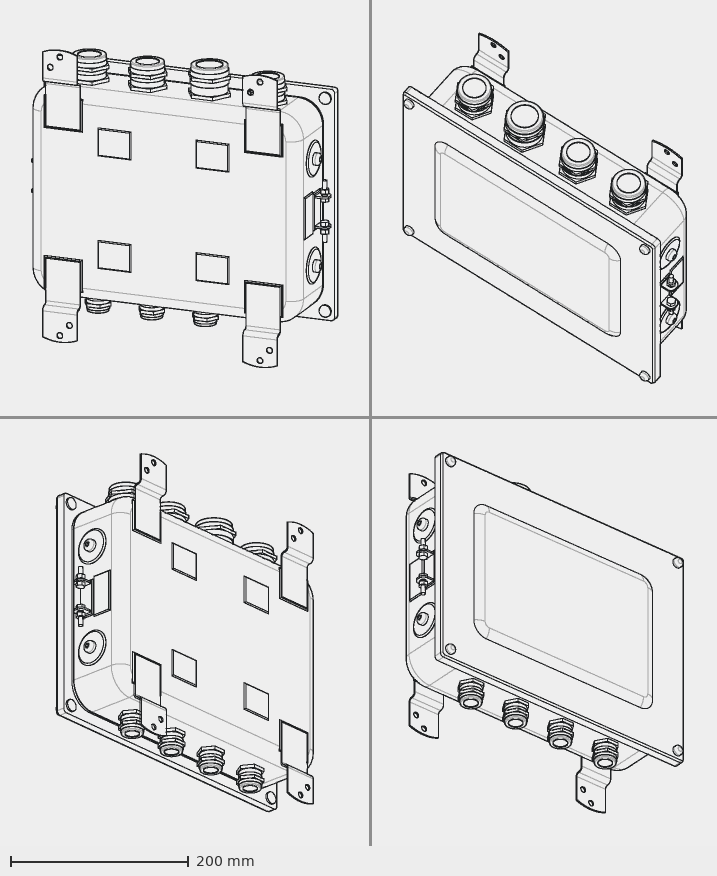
import cadquery as cq
import math

total_width = 363.0
total_depth = 105.5
total_height = 344.5

body_width = 328.5
body_height = 248.0
body_back_y = -41.7
body_corner_radius = 29.8
body_edge_radius = 15.2
neck_length = 3.3
neck_inset = 0.7

lid_width = 354.0
lid_height = 273.5
lid_back_y = 34.5
lid_face_y = 47.2
lid_corner_radius = 4.5
lid_bevel_depth = 3.0
lid_bevel_inset = 1.5
panel_width = 268.0
panel_height = 185.0
panel_face_y = total_depth / 2
panel_corner_radius = 21.5
panel_edge_radius = 15.2

lid_screw_x = 166.0
lid_screw_z = 125.5
lid_screw_diameter = 12.0
lid_screw_fillet = 3.3
lid_boss_diameter = 14.0
lid_boss_height = 2.0

pad_height = 1.5
weld_bevel = 1.27
back_pad_width = 40.3
back_pad_height = 33.0
back_pad_x = 60.0
back_pad_z = 66.5
name_pad_width = 24.7
name_pad_height = 50.0
name_pad_y = -12.7

strap_x = 122.0
strap_width = 41.7
strap_thickness = 1.8
strap_inner_z = 78.0
strap_bend_z = 133.0
strap_outer_z = total_height / 2
strap_tip_rise = 4.0
strap_foot_y = -total_depth / 2
strap_hole_diameter = 7.0
strap_end_hole_z = 164.5
strap_side_hole_z = 151.0
strap_side_hole_offset = 11.5
strap_weld_border = 2.5
strap_weld_top_z = 114.0

gland_y = 2.5
medium_gland_xs = (-108.5, -37.8, 108.5)
large_gland_x = 37.8
small_gland_xs = (-98.0, -32.5, 32.5, 98.0)
gland_hex_thickness = 4.0
gland_recess_depth = 1.0
gland_top_fillet = 1.0

plug_y = gland_y
plug_z = 63.0
plug_diameter = 42.0
plug_thickness = 1.8
plug_bevel_depth = 1.5
plug_bevel_inset = 2.0
plug_screw_diameter = 14.0
plug_screw_height = 7.0
plug_screw_fillet = 3.5
plug_socket_diameter = 5.0
plug_socket_depth = 2.0

lug_end_x = total_width / 2
lug_y = 11.0
lug_width = 15.2
lug_round_radius = 6.0
lug_z = 17.8
lug_thickness = 2.0
lug_pad_width = 19.5
lug_pad_height = 44.5
bolt_x = 174.5
bolt_diameter = 5.0
bolt_end_z = 36.3
bolt_hex_corners = 10.5
bolt_head_thickness = 4.7
nut_bottom_z = 21.0
nut_thickness = 5.0
washer_diameter = 7.0

sink = 1.0
side_x = body_width / 2
top_z = body_height / 2


def slab_y(width, height, y_start, y_end):
    """Box centred on X and Z that spans the given Y range."""
    return cq.Workplane("XY").box(width, y_end - y_start, height).translate((0, (y_start + y_end) / 2, 0))


def disc_y(x, z, diameter, y_start, y_end):
    """Cylinder along Y."""
    plane = cq.Workplane("XZ", origin=(x, y_start, z))
    return plane.circle(diameter / 2).extrude(y_start - y_end)


def mirrored_x(shape):
    return shape.union(shape.mirror("YZ"))


def hex_prism(x, y, z_start, thickness, corners):
    """Hexagon along Z with two of its corners on the X direction."""
    return cq.Workplane("XY", origin=(x, y, z_start)).polygon(6, corners).extrude(thickness)


def disc_z(x, y, z_start, z_end, diameter):
    return cq.Workplane("XY", origin=(x, y, z_start)).circle(diameter / 2).extrude(z_end - z_start)


def make_body():
    tub = slab_y(body_width, body_height, body_back_y, lid_back_y - neck_length)
    tub = tub.edges("|Y").fillet(body_corner_radius)
    tub = tub.faces("<Y").edges().fillet(body_edge_radius)
    neck_width = body_width - 2 * neck_inset
    neck_height = body_height - 2 * neck_inset
    neck = slab_y(neck_width, neck_height, lid_back_y - neck_length - sink, lid_back_y + sink)
    return tub.union(neck.edges("|Y").fillet(body_corner_radius - neck_inset))


def make_lid():
    plate = slab_y(lid_width, lid_height, lid_back_y, lid_face_y).edges("|Y").fillet(lid_corner_radius)
    bevel_taper = math.degrees(math.atan(lid_bevel_inset / lid_bevel_depth))
    rim_y = lid_face_y - lid_bevel_depth
    base = plate.intersect(slab_y(lid_width, lid_height, lid_back_y, rim_y))
    lid = base.faces(">Y").wires().toPending().workplane().extrude(lid_bevel_depth, taper=bevel_taper)
    panel = slab_y(panel_width, panel_height, lid_back_y, panel_face_y)
    panel = panel.edges("|Y").fillet(panel_corner_radius).faces(">Y").edges().fillet(panel_edge_radius)
    lid = lid.union(panel)
    for x in (-lid_screw_x, lid_screw_x):
        for z in (-lid_screw_z, lid_screw_z):
            head = disc_y(x, z, lid_screw_diameter, lid_face_y - sink, panel_face_y)
            head = head.faces(">Y").edges().fillet(lid_screw_fillet)
            boss = disc_y(x, z, lid_boss_diameter, lid_back_y - lid_boss_height, lid_back_y + sink)
            lid = lid.union(head).union(boss)
    return lid


def back_pad(x, z, width, height):
    pad = slab_y(width, height, body_back_y - pad_height, body_back_y + sink)
    return pad.faces("<Y").edges().chamfer(weld_bevel).translate((x, 0, z))


def side_pad(y, width, height):
    """Pad on the -X wall."""
    pad = cq.Workplane("XY").box(pad_height + sink, width, height)
    pad = pad.faces("<X").edges().chamfer(weld_bevel)
    return pad.translate((-side_x + (sink - pad_height) / 2, y, 0))


def make_strap():
    """Upper strap: flat on the back, S-bent to a foot with an arched tip."""
    back_y = body_back_y
    shift = back_y - strap_thickness - strap_foot_y
    mid_radius = shift / 2
    inner = mid_radius - strap_thickness / 2
    outer = mid_radius + strap_thickness / 2
    bend_start = strap_bend_z - mid_radius
    bend_end = strap_bend_z + mid_radius
    outer_back_y = back_y - strap_thickness
    profile = (
        cq.Workplane("YZ")
        .moveTo(back_y, strap_inner_z)
        .lineTo(back_y, bend_start)
        .radiusArc((back_y - outer, bend_start + outer), -outer)
        .radiusArc((strap_foot_y + strap_thickness, bend_end), inner)
        .lineTo(strap_foot_y + strap_thickness, strap_outer_z)
        .lineTo(strap_foot_y, strap_outer_z)
        .lineTo(strap_foot_y, bend_end)
        .radiusArc((strap_foot_y + outer, bend_end - outer), -outer)
        .radiusArc((outer_back_y, bend_start), inner)
        .lineTo(outer_back_y, strap_inner_z)
        .close()
    )
    strap = profile.extrude(strap_width / 2, both=True)
    half = strap_width / 2
    shoulder_z = strap_outer_z - strap_tip_rise
    outline = (
        cq.Workplane("XZ", origin=(0, body_back_y + sink, 0))
        .moveTo(-half, strap_inner_z)
        .lineTo(-half, shoulder_z)
        .threePointArc((0, strap_outer_z), (half, shoulder_z))
        .lineTo(half, strap_inner_z)
        .close()
        .extrude(body_back_y + sink - strap_foot_y)
    )
    strap = strap.intersect(outline)
    for x, z in ((0, strap_end_hole_z), (-strap_side_hole_offset, strap_side_hole_z)):
        strap = strap.cut(disc_y(x, z, strap_hole_diameter, strap_foot_y - sink, body_back_y))
    weld_bottom_z = strap_inner_z - strap_weld_border
    weld = back_pad(
        0,
        (weld_bottom_z + strap_weld_top_z) / 2,
        strap_width + 2 * strap_weld_border,
        strap_weld_top_z - weld_bottom_z,
    )
    return strap.union(weld)


def make_gland(hex_flats, barrel, collar, cap, recess, collar_base, ring_base, height):
    """Gland standing on Z = 0: base hexagon, barrel, collar, hexagon ring and cap."""
    hex_corners = hex_flats / math.cos(math.pi / 6)
    ring_top = ring_base + gland_hex_thickness
    collar_top = ring_top + (height - ring_top) / 2
    gland = hex_prism(0, 0, -sink, gland_hex_thickness + sink, hex_corners)
    gland = gland.union(disc_z(0, 0, 0, collar_base, barrel))
    gland = gland.union(disc_z(0, 0, collar_base, collar_top, collar))
    gland = gland.union(hex_prism(0, 0, ring_base, gland_hex_thickness, hex_corners))
    top = disc_z(0, 0, collar_top, height, cap).faces(">Z").edges().fillet(gland_top_fillet)
    gland = gland.union(top)
    return gland.cut(disc_z(0, 0, height - gland_recess_depth, height, recess))


def make_plug(z):
    """Round plug with a domed socket screw on the -X wall."""
    wall = cq.Workplane("YZ", origin=(-side_x + sink, plug_y, z))
    rim_thickness = plug_thickness - plug_bevel_depth
    rim = wall.circle(plug_diameter / 2).extrude(-rim_thickness - sink)
    bevel_taper = math.degrees(math.atan(plug_bevel_inset / plug_bevel_depth))
    plug = rim.faces("<X").wires().toPending().workplane().extrude(plug_bevel_depth, taper=bevel_taper)
    screw = wall.circle(plug_screw_diameter / 2).extrude(-sink - plug_thickness - plug_screw_height)
    screw = screw.faces("<X").edges().fillet(plug_screw_fillet)
    screw = screw.faces("<X").workplane().hole(plug_socket_diameter, plug_socket_depth)
    return plug.union(screw)


def make_lug():
    """Upper lug on the -X wall with its bolt, washer and nut."""
    length = lug_end_x - side_x + sink
    lug = cq.Workplane("XY").box(length, lug_width, lug_thickness)
    lug = lug.edges("|Z and <X").fillet(lug_round_radius)
    lug = lug.translate((-lug_end_x + length / 2, lug_y, lug_z))
    lug_bottom = lug_z - lug_thickness / 2
    head_bottom = lug_bottom - bolt_head_thickness
    lug = lug.union(hex_prism(-bolt_x, lug_y, head_bottom, bolt_head_thickness, bolt_hex_corners))
    lug = lug.union(disc_z(-bolt_x, lug_y, lug_z, nut_bottom_z, washer_diameter))
    lug = lug.union(hex_prism(-bolt_x, lug_y, nut_bottom_z, nut_thickness, bolt_hex_corners))
    return lug.union(disc_z(-bolt_x, lug_y, lug_z, bolt_end_z, bolt_diameter))


result = make_body().union(make_lid())

for pad_x in (-back_pad_x, back_pad_x):
    for pad_z in (-back_pad_z, back_pad_z):
        result = result.union(back_pad(pad_x, pad_z, back_pad_width, back_pad_height))

strap = make_strap()
for x in (-strap_x, strap_x):
    upper_strap = strap.translate((x, 0, 0))
    result = result.union(upper_strap)
    result = result.union(upper_strap.rotate((0, 0, 0), (0, 1, 0), 180))

medium_gland = make_gland(
    hex_flats=40.5, barrel=38.0, collar=39.2, cap=38.0, recess=26.5,
    collar_base=10.5, ring_base=15.2, height=30.0,
)
large_gland = make_gland(
    hex_flats=44.0, barrel=42.0, collar=44.0, cap=42.0, recess=31.0,
    collar_base=13.8, ring_base=20.5, height=35.5,
)
small_gland = make_gland(
    hex_flats=27.2, barrel=25.8, collar=26.5, cap=25.0, recess=16.7,
    collar_base=8.7, ring_base=12.7, height=23.5,
)
for x in medium_gland_xs:
    result = result.union(medium_gland.translate((x, gland_y, top_z)))
result = result.union(large_gland.translate((large_gland_x, gland_y, top_z)))
for x in small_gland_xs:
    result = result.union(small_gland.mirror("XY").translate((x, gland_y, -top_z)))

side_fittings = side_pad(name_pad_y, name_pad_width, name_pad_height)
side_fittings = side_fittings.union(side_pad(lug_y, lug_pad_width, lug_pad_height))
for z in (-plug_z, plug_z):
    side_fittings = side_fittings.union(make_plug(z))
lug = make_lug()
side_fittings = side_fittings.union(lug).union(lug.mirror("XY"))
result = result.union(mirrored_x(side_fittings))